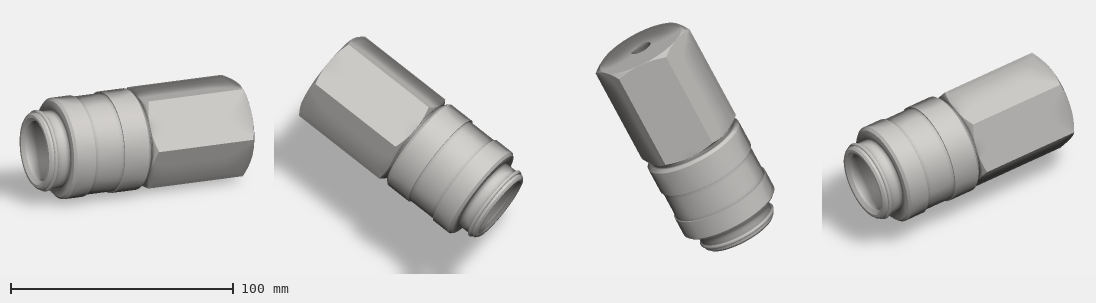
import cadquery as cq
import math

total_length = 99.0
ring_center = 3.1
sleeve_start = 9.9
grip_start = 20.2
grip_end = 34.5
sleeve_end = 47.6
hex_start = 49.0

nose_radius = 17.5
nose_chamfer = 1.0
ring_outer_radius = 18.5
ring_wire_radius = 0.9
sleeve_radius = 23.02
sleeve_chamfer = 1.2
grip_radius = 22.3
neck_radius = 20.2
hex_corner_diameter = 47.3
hex_chamfer_angle = 30.0

bore_radius = 13.7
bore_chamfer = 1.6
bore_depth = sleeve_end
passage_radius = 4.95


def revolve_about_y(profile):
    """Revolve a closed XY profile around the Y axis."""
    return profile.close().revolve(360, (0, 0, 0), (0, 1, 0))


def turned_body():
    """Nose, gripping sleeve and neck as one stepped body of revolution."""
    chamfer_radius = sleeve_radius - sleeve_chamfer
    return revolve_about_y(
        cq.Workplane("XY").polyline([
            (0, 0),
            (nose_radius - nose_chamfer, 0),
            (nose_radius, nose_chamfer),
            (nose_radius, sleeve_start),
            (chamfer_radius, sleeve_start),
            (sleeve_radius, sleeve_start + sleeve_chamfer),
            (sleeve_radius, grip_start),
            (grip_radius, grip_start),
            (grip_radius, grip_end),
            (sleeve_radius, grip_end),
            (sleeve_radius, sleeve_end - sleeve_chamfer),
            (chamfer_radius, sleeve_end),
            (neck_radius, sleeve_end),
            (neck_radius, hex_start),
            (0, hex_start),
        ])
    )


def snap_ring():
    """Round wire ring partly sunk into the nose."""
    wire_center = ring_outer_radius - ring_wire_radius
    return (
        cq.Workplane("XY")
        .center(wire_center, ring_center)
        .circle(ring_wire_radius)
        .revolve(360, (-wire_center, 0, 0), (-wire_center, 1, 0))
    )


def hex_body():
    """Hexagon with corners on the X axis, both ends turned to a cone."""
    corner_radius = hex_corner_diameter / 2
    flat_radius = corner_radius * math.cos(math.radians(30))
    cone_length = (corner_radius - flat_radius) * math.tan(math.radians(hex_chamfer_angle))
    hexagon = (
        cq.Workplane("XZ", origin=(0, hex_start, 0))
        .polygon(6, hex_corner_diameter)
        .extrude(hex_start - total_length)
    )
    envelope = revolve_about_y(
        cq.Workplane("XY").polyline([
            (0, hex_start),
            (flat_radius, hex_start),
            (corner_radius, hex_start + cone_length),
            (corner_radius, total_length - cone_length),
            (flat_radius, total_length),
            (0, total_length),
        ])
    )
    return hexagon.intersect(envelope)


def inner_cavity():
    """Chamfered socket in the nose followed by a narrow through passage."""
    return revolve_about_y(
        cq.Workplane("XY").polyline([
            (0, 0),
            (bore_radius + bore_chamfer, 0),
            (bore_radius, bore_chamfer),
            (bore_radius, bore_depth),
            (passage_radius, bore_depth),
            (passage_radius, total_length),
            (0, total_length),
        ])
    )


result = turned_body().union(snap_ring()).union(hex_body()).cut(inner_cavity())